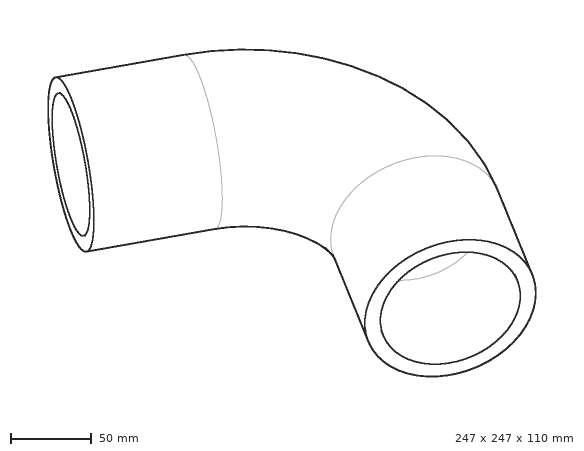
import cadquery as cq

overall_length = 247.0
outer_diameter = 110.0
bore_diameter = 90.0
straight_length = 82.3

axis_length = overall_length - outer_diameter / 2
bend_radius = axis_length - straight_length


def elbow(diameter):
    """Solid round bar: straight leg, quarter bend, straight leg."""
    radius = diameter / 2
    first_leg = (
        cq.Workplane("XZ", origin=(0, -bend_radius, 0))
        .circle(radius)
        .extrude(straight_length)
    )
    bend = (
        cq.Workplane("XZ", origin=(0, -bend_radius, 0))
        .circle(radius)
        .revolve(90, (bend_radius, 0), (bend_radius, -1))
    )
    second_leg = (
        cq.Workplane("YZ", origin=(bend_radius, 0, 0))
        .circle(radius)
        .extrude(straight_length)
    )
    return first_leg.union(bend).union(second_leg)


result = elbow(outer_diameter).cut(elbow(bore_diameter))